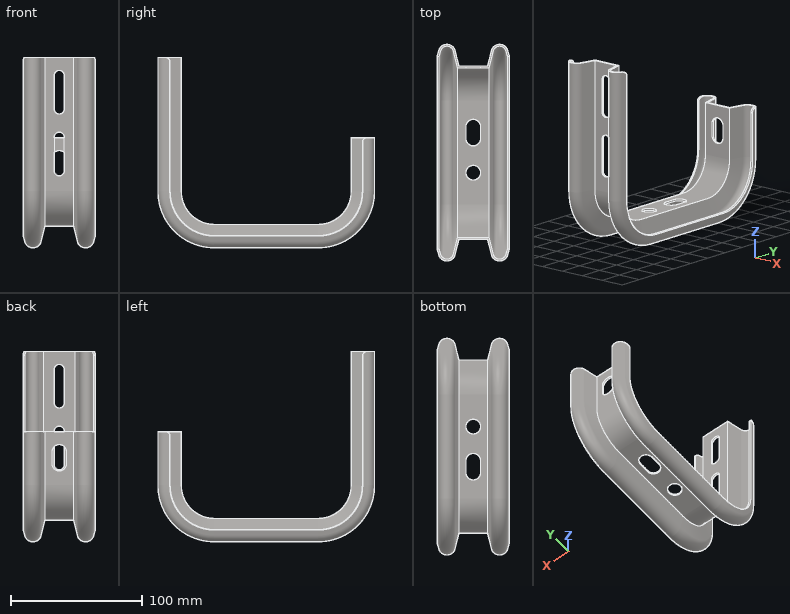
import cadquery as cq
import math

SHEET = 1.5
SECTION_WIDTH = 55.0
SECTION_DEPTH = 18.0
WEB_WIDTH = 24.1
BEAD_RADIUS = 6.5
FLANK_ANGLE = math.radians(13.75)
LIP_ANGLE = math.radians(16.0)
LIP_CORNER_RADIUS = 4.0

BRACKET_LENGTH = 165.0
LONG_LEG_HEIGHT = 145.0
SHORT_LEG_HEIGHT = 84.0
BEND_INNER_RADIUS = 25.0
BEND_OUTER_RADIUS = BEND_INNER_RADIUS + SECTION_DEPTH
BASE_END = BRACKET_LENGTH / 2 - BEND_OUTER_RADIUS

LONG_SLOT_LENGTH = 33.0
LONG_SLOT_WIDTH = 7.5
LONG_SLOT_PITCH = 47.0
UPPER_SLOT_DROP = 26.5
HOLE_DIAMETER = 11.0
WIDE_SLOT_LENGTH = 20.0
WIDE_SLOT_WIDTH = HOLE_DIAMETER
BASE_OPENING_OFFSET = 15.25
SHORT_SLOT_DROP = 20.0
CUT_REACH = 2 * SHEET

FLANK_SLOPE = math.tan(FLANK_ANGLE)
BEAD_INNER_RADIUS = BEAD_RADIUS - SHEET
FLANK_RUN = (SECTION_DEPTH - BEAD_RADIUS) * FLANK_SLOPE
BEAD_X = WEB_WIDTH / 2 + FLANK_RUN + BEAD_INNER_RADIUS / math.cos(FLANK_ANGLE)
WEB_OUTER_HALF = WEB_WIDTH / 2 + SHEET * (FLANK_SLOPE - 1 / math.cos(FLANK_ANGLE))
LIP_RUN = SECTION_WIDTH / 2 - BEAD_X - BEAD_RADIUS / math.cos(LIP_ANGLE)
LIP_OUTER = (SECTION_WIDTH / 2, BEAD_RADIUS + LIP_RUN / math.tan(LIP_ANGLE))
LIP_INNER = (LIP_OUTER[0] - SHEET * math.cos(LIP_ANGLE), LIP_OUTER[1] + SHEET * math.sin(LIP_ANGLE))


def flank_tangent(radius):
    """Point where the bead meets the flank."""
    return (BEAD_X - radius * math.cos(FLANK_ANGLE), BEAD_RADIUS - radius * math.sin(FLANK_ANGLE))


def lip_tangent(radius):
    """Point where the bead meets the lip."""
    return (BEAD_X + radius * math.cos(LIP_ANGLE), BEAD_RADIUS - radius * math.sin(LIP_ANGLE))


def section():
    """Closed channel section at Y = 0, crown on Z = 0 and web above it."""
    plane = cq.Plane(origin=(0, 0, 0), xDir=(1, 0, 0), normal=(0, -1, 0))

    def mirrored(point):
        return (-point[0], point[1])

    outer_crown = (BEAD_X, 0)
    inner_crown = (BEAD_X, SHEET)
    return (
        cq.Workplane(plane)
        .moveTo(WEB_OUTER_HALF, SECTION_DEPTH - SHEET)
        .lineTo(*flank_tangent(BEAD_RADIUS))
        .threePointArc(outer_crown, lip_tangent(BEAD_RADIUS))
        .lineTo(*LIP_OUTER)
        .lineTo(*LIP_INNER)
        .lineTo(*lip_tangent(BEAD_INNER_RADIUS))
        .threePointArc(inner_crown, flank_tangent(BEAD_INNER_RADIUS))
        .lineTo(WEB_WIDTH / 2, SECTION_DEPTH)
        .lineTo(-WEB_WIDTH / 2, SECTION_DEPTH)
        .lineTo(*mirrored(flank_tangent(BEAD_INNER_RADIUS)))
        .threePointArc(mirrored(inner_crown), mirrored(lip_tangent(BEAD_INNER_RADIUS)))
        .lineTo(*mirrored(LIP_INNER))
        .lineTo(*mirrored(LIP_OUTER))
        .lineTo(*mirrored(lip_tangent(BEAD_RADIUS)))
        .threePointArc(mirrored(outer_crown), mirrored(flank_tangent(BEAD_RADIUS)))
        .lineTo(-WEB_OUTER_HALF, SECTION_DEPTH - SHEET)
        .close()
    )


def base():
    """Straight base between the two bends."""
    return section().extrude(BASE_END, both=True)


def bend_and_leg(height):
    """Quarter bend and upright leg at the -Y end of the base."""
    bend = section().revolve(90, (0, BEND_OUTER_RADIUS, 0), (-1, BEND_OUTER_RADIUS, 0))
    leg = (
        section()
        .extrude(height - BEND_OUTER_RADIUS)
        .rotate((0, 0, BEND_OUTER_RADIUS), (1, 0, BEND_OUTER_RADIUS), -90)
    )
    body = bend.union(leg).translate((0, -BASE_END, 0))
    return body.cut(lip_corner_cutter(height))


def lip_corner_cutter(height):
    """Rounds the free lip corners at the top of a leg at the -Y end."""
    lip_edge_y = LIP_INNER[1] - BRACKET_LENGTH / 2
    arc_y = lip_edge_y - LIP_CORNER_RADIUS
    arc_z = height - LIP_CORNER_RADIUS
    mid = LIP_CORNER_RADIUS * math.sqrt(0.5)
    cutter = (
        cq.Workplane("YZ", origin=(BEAD_X, 0, 0))
        .moveTo(arc_y, height)
        .threePointArc((arc_y + mid, arc_z + mid), (lip_edge_y, arc_z))
        .lineTo(lip_edge_y, height)
        .close()
        .extrude(SECTION_WIDTH / 2 - BEAD_X)
    )
    return cutter.union(cutter.mirror("YZ"))


def upright_slot(web_y, z, length, width):
    """Cutter for an upright slot through the web of a leg."""
    return (
        cq.Workplane("XZ", origin=(0, web_y, z))
        .slot2D(length, width, 90)
        .extrude(CUT_REACH, both=True)
    )


def long_leg_slots():
    """Cutter for the two slots in the web of the long leg."""
    web_y = SECTION_DEPTH - BRACKET_LENGTH / 2
    upper_z = LONG_LEG_HEIGHT - UPPER_SLOT_DROP
    upper = upright_slot(web_y, upper_z, LONG_SLOT_LENGTH, LONG_SLOT_WIDTH)
    return upper.union(upper.translate((0, 0, -LONG_SLOT_PITCH)))


def short_leg_slot():
    """Cutter for the slot in the web of the short leg."""
    web_y = BRACKET_LENGTH / 2 - SECTION_DEPTH
    slot_z = SHORT_LEG_HEIGHT - SHORT_SLOT_DROP
    return upright_slot(web_y, slot_z, WIDE_SLOT_LENGTH, WIDE_SLOT_WIDTH)


def base_openings():
    """Cutter for the slot and the round hole in the web of the base."""
    slot = (
        cq.Workplane("XY", origin=(0, 0, SECTION_DEPTH))
        .center(0, BASE_OPENING_OFFSET)
        .slot2D(WIDE_SLOT_LENGTH, WIDE_SLOT_WIDTH, 90)
        .extrude(CUT_REACH, both=True)
    )
    hole = (
        cq.Workplane("XY", origin=(0, 0, SECTION_DEPTH))
        .center(0, -BASE_OPENING_OFFSET)
        .circle(HOLE_DIAMETER / 2)
        .extrude(CUT_REACH, both=True)
    )
    return slot.union(hole)


long_side = bend_and_leg(LONG_LEG_HEIGHT)
short_side = bend_and_leg(SHORT_LEG_HEIGHT).mirror("XZ")
bracket = base().union(long_side).union(short_side)

result = bracket.cut(long_leg_slots()).cut(short_leg_slot()).cut(base_openings())